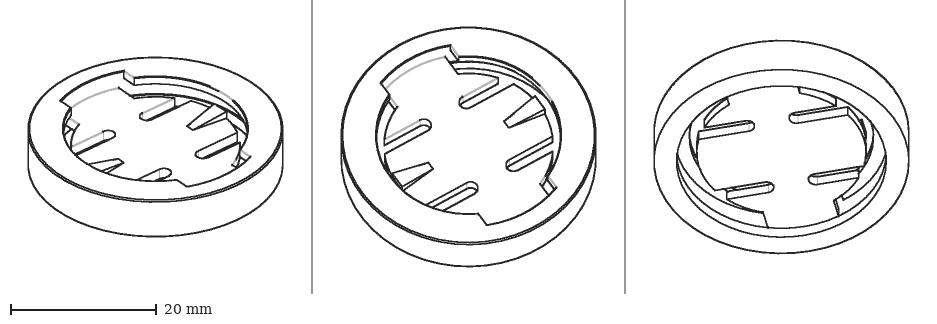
import cadquery as cq
OUTER_RADIUS = 17.5
HEIGHT = 6.0
TOP_CHAMFER = 0.2
EDGE_FILLET = 0.1
LIP_RADIUS = 12.65
LIP_THICKNESS = 1.22
LIP_BOTTOM = HEIGHT - LIP_THICKNESS
CAVITY_RADIUS = 14.63
NOTCH_HALF_WIDTH = 5.65
LEDGE_WIDTH = 0.25
LEDGE_HEIGHT = 1.75
LOWER_BORE_RADIUS = CAVITY_RADIUS - LEDGE_WIDTH

FLOOR_RADIUS = 11.62
FLOOR_THICKNESS = 1.6
FLOOR_BOTTOM = LEDGE_HEIGHT
FLOOR_TOP = FLOOR_BOTTOM + FLOOR_THICKNESS
TAB_HALF_WIDTH = 4.97

SLOT_WIDTH = 2.0
SLOT_X = 6.0
SLOT_ROUND_Y = 3.45

WEDGE_INNER_Y = 6.15
WEDGE_OUTER_Y = FLOOR_RADIUS
WEDGE_INNER_WIDTH = 1.25
WEDGE_OUTER_WIDTH = 2.75
WEDGE_HEIGHT = 1.0
WEDGE_DRAFT = 6


def plane_at(height):
    return cq.Workplane("XY").workplane(offset=height)


def disc(radius, bottom, height):
    return plane_at(bottom).circle(radius).extrude(height)


def key_shape(core_radius, tab_radius, half_width, bottom, height):
    """Round disc with two wider tabs on +X and -X, each ending in an arc about the Z axis."""
    core = disc(core_radius, bottom, height)
    bar = plane_at(bottom).rect(2 * tab_radius, 2 * half_width).extrude(height)
    return core.union(bar.intersect(disc(tab_radius, bottom, height)))


def make_ring():
    """Ring with a notched lip over a wider cavity, and a small ledge at the bottom of the cavity."""
    blank = disc(OUTER_RADIUS, 0, HEIGHT).faces(">Z").edges().chamfer(TOP_CHAMFER)
    opening = key_shape(LIP_RADIUS, CAVITY_RADIUS, NOTCH_HALF_WIDTH, LIP_BOTTOM, LIP_THICKNESS)
    ring = blank.cut(opening)
    opening_rim = ring.faces(">Z").val().innerWires()[0].Edges()
    ring = ring.newObject(opening_rim).fillet(EDGE_FILLET)
    cavity = disc(CAVITY_RADIUS, LEDGE_HEIGHT, LIP_BOTTOM - LEDGE_HEIGHT)
    lower_bore = disc(LOWER_BORE_RADIUS, 0, LEDGE_HEIGHT)
    return ring.cut(cavity).cut(lower_bore)


def on_each_slot(make_cutter):
    """One solid per slot, made by a function of the slot's X side and Y side."""
    return [make_cutter(side_x, side_y) for side_x in (-1, 1) for side_y in (-1, 1)]


def slot_channel(side_x, side_y):
    """Straight part of a slot, running along Y and out through the rim of the floor."""
    length = FLOOR_RADIUS - SLOT_ROUND_Y
    centre = (side_x * SLOT_X, side_y * (SLOT_ROUND_Y + length / 2))
    return plane_at(FLOOR_BOTTOM).center(*centre).rect(SLOT_WIDTH, length).extrude(FLOOR_THICKNESS)


def slot_round_end(side_x, side_y):
    centre = (side_x * SLOT_X, side_y * SLOT_ROUND_Y)
    return plane_at(FLOOR_BOTTOM).center(*centre).circle(SLOT_WIDTH / 2).extrude(FLOOR_THICKNESS)


def fillet_wings(body):
    """Rounds the floor's top edges outside the slots, and its corners with the ring wall."""
    wing_start = SLOT_X + SLOT_WIDTH / 4
    low = FLOOR_TOP - EDGE_FILLET
    high = FLOOR_TOP + EDGE_FILLET
    right = cq.selectors.BoxSelector((wing_start, -OUTER_RADIUS, low), (OUTER_RADIUS, OUTER_RADIUS, high))
    left = cq.selectors.BoxSelector((-OUTER_RADIUS, -OUTER_RADIUS, low), (-wing_start, OUTER_RADIUS, high))
    return body.edges(right + left).fillet(EDGE_FILLET)


def make_housing():
    """Ring and floor as one body; the floor's two tabs run into the cavity wall."""
    floor = key_shape(FLOOR_RADIUS, CAVITY_RADIUS, TAB_HALF_WIDTH, FLOOR_BOTTOM, FLOOR_THICKNESS)
    for channel in on_each_slot(slot_channel):
        floor = floor.cut(channel)
    housing = fillet_wings(make_ring().union(floor))
    for round_end in on_each_slot(slot_round_end):
        housing = housing.cut(round_end)
    return housing


def make_wedge(side_y):
    """Detent that widens and rises toward the floor's rim, with drafted flanks and an upright end."""
    length = WEDGE_OUTER_Y - WEDGE_INNER_Y
    overrun = WEDGE_HEIGHT
    end_y = WEDGE_OUTER_Y + overrun
    spread = (WEDGE_OUTER_WIDTH - WEDGE_INNER_WIDTH) / length
    end_width = WEDGE_OUTER_WIDTH + spread * overrun
    outline = [
        (-WEDGE_INNER_WIDTH / 2, WEDGE_INNER_Y),
        (WEDGE_INNER_WIDTH / 2, WEDGE_INNER_Y),
        (end_width / 2, end_y),
        (-end_width / 2, end_y),
    ]
    ramp_profile = [
        (WEDGE_INNER_Y, FLOOR_TOP),
        (WEDGE_OUTER_Y, FLOOR_TOP),
        (WEDGE_OUTER_Y, FLOOR_TOP + WEDGE_HEIGHT),
    ]
    block = plane_at(FLOOR_TOP).polyline(outline).close().extrude(WEDGE_HEIGHT, taper=WEDGE_DRAFT)
    ramp = cq.Workplane("YZ").polyline(ramp_profile).close().extrude(end_width, both=True)
    wedge = block.intersect(ramp)
    return wedge if side_y > 0 else wedge.mirror("XZ")


housing = make_housing()
wedges = [make_wedge(side_y) for side_y in (-1, 1)]

result = cq.Compound.makeCompound([housing.val(), *[wedge.val() for wedge in wedges]])